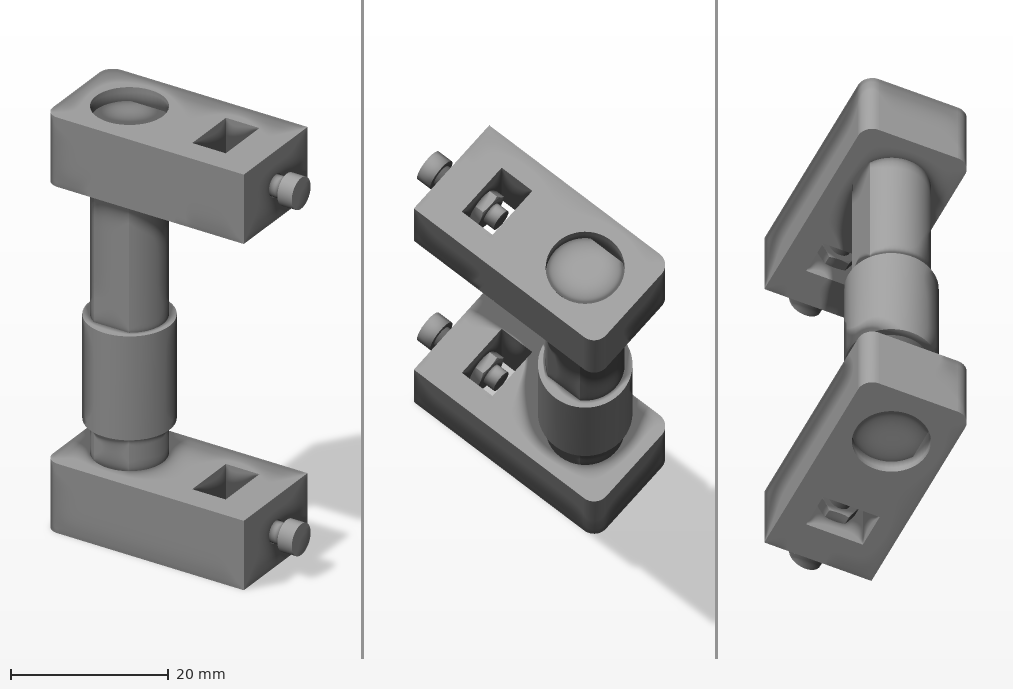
import cadquery as cq
import math

total_height = 60.0
bracket_length = 30.0
bracket_width = 15.0
bracket_height = 10.0
corner_radius = 2.0
upper_bracket_bottom = total_height - bracket_height
bracket_levels = (0.0, upper_bracket_bottom)

rod_diameter = 10.0
rod_across_flats = 8.5
bracket_end_wall = 3.0
rod_x = bracket_end_wall + rod_diameter / 2
rod_recess = 2.0

sleeve_diameter = 12.0
sleeve_bottom = 15.0
sleeve_height = 15.0

pocket_start = 20.0
pocket_length = 5.05
pocket_width = 7.9
pocket_end = pocket_start + pocket_length

shank_diameter = 2.95
screw_hole_diameter = 3.2
head_diameter = 4.45
head_height = 2.15
screw_end = 33.85
screw_tip = 21.85
nut_across_flats = 4.8
nut_thickness = 1.5
nut_chamfer_height = 0.15
nut_across_corners = nut_across_flats / math.cos(math.pi / 6)
nut_chamfer_depth = (nut_across_corners - nut_across_flats) / 2


def cylinder_along_x(start, end, diameter):
    """Cylinder on the X axis between two X positions."""
    return cq.Workplane("YZ", origin=(start, 0, 0)).circle(diameter / 2).extrude(end - start)


def box_from_x(start, length, width, height):
    """Box that begins at X = start, is centred on Y = 0 and stands on Z = 0."""
    base = cq.Workplane("XY", origin=(start, 0, 0))
    return base.box(length, width, height, centered=(False, True, False))


def make_flatted_rod(bottom, height):
    """Round bar along Z with one flat on each Y side."""
    base = cq.Workplane("XY", origin=(rod_x, 0, bottom))
    bar = base.circle(rod_diameter / 2).extrude(height)
    flats = base.rect(rod_diameter, rod_across_flats).extrude(height)
    return bar.intersect(flats)


def make_bracket():
    """Block with its bottom at Z = 0, a round rod bore, a nut pocket and a screw hole."""
    block = box_from_x(0, bracket_length, bracket_width, bracket_height)
    block = block.edges("|Z and <X").fillet(corner_radius)
    rod_bore = cq.Workplane("XY").center(rod_x, 0).circle(rod_diameter / 2).extrude(bracket_height)
    pocket = box_from_x(pocket_start, pocket_length, pocket_width, bracket_height)
    screw_hole = cylinder_along_x(pocket_end, bracket_length, screw_hole_diameter)
    screw_hole = screw_hole.translate((0, 0, bracket_height / 2))
    return block.cut(rod_bore).cut(pocket).cut(screw_hole)


def make_sleeve():
    """Round sleeve whose bore fits the flatted rod."""
    base = cq.Workplane("XY", origin=(rod_x, 0, sleeve_bottom))
    outside = base.circle(sleeve_diameter / 2).extrude(sleeve_height)
    return outside.cut(make_flatted_rod(sleeve_bottom, sleeve_height))


def make_screw():
    """Cylinder-head screw lying along X, with its axis at Z = 0."""
    head_start = screw_end - head_height
    shank = cylinder_along_x(screw_tip, head_start, shank_diameter)
    head = cylinder_along_x(head_start, screw_end, head_diameter)
    return shank.union(head)


def make_nut():
    """Hexagonal nut against the pocket wall, corners toward the Y sides, chamfered at both ends."""
    nut_start = pocket_end - nut_thickness
    base = cq.Workplane("YZ", origin=(nut_start, 0, 0))
    hexagon = base.polygon(6, nut_across_corners).extrude(nut_thickness)
    corner_trim = cylinder_along_x(nut_start, pocket_end, nut_across_corners)
    corner_trim = corner_trim.edges().chamfer(nut_chamfer_height, nut_chamfer_depth)
    hexagon = hexagon.intersect(corner_trim)
    return hexagon.cut(cylinder_along_x(nut_start, pocket_end, shank_diameter))


rod = make_flatted_rod(rod_recess, total_height - 2 * rod_recess)
sleeve = make_sleeve()

clamp_bodies = []
for level in bracket_levels:
    screw_axis_level = level + bracket_height / 2
    bracket = make_bracket().translate((0, 0, level))
    screw = make_screw().translate((0, 0, screw_axis_level))
    nut = make_nut().translate((0, 0, screw_axis_level))
    clamp_bodies += [bracket.val(), screw.val(), nut.val()]

result = cq.Compound.makeCompound([rod.val(), sleeve.val(), *clamp_bodies])